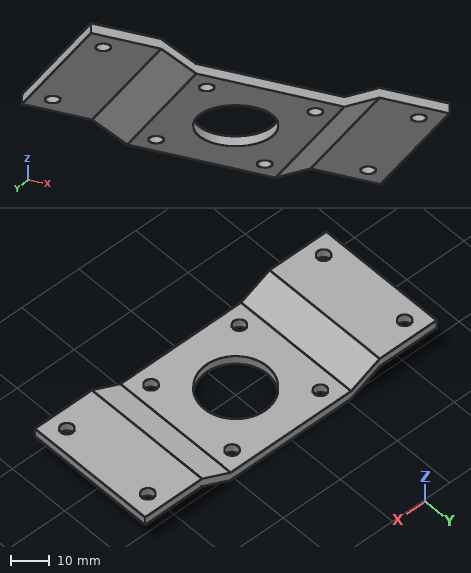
import cadquery as cq

length = 102.3
width = 42.2
thickness = 3.0
drop = 5.0

panel_length = width
ramp_length = 10.0
panel_bend_x = panel_length / 2
flange_bend_x = panel_bend_x + ramp_length
end_x = length / 2

bore_diameter = 22.0
screw_diameter = 4.0
panel_hole_spacing = 31.0
flange_hole_spacing = 90.0


def bent_plate():
    """Constant-height strip profile, stepped down in the middle."""
    top_right = [(panel_bend_x, thickness), (flange_bend_x, thickness + drop), (end_x, thickness + drop)]
    bottom_right = [(x, z - thickness) for x, z in reversed(top_right)]
    right_side = top_right + bottom_right
    left_side = [(-x, z) for x, z in reversed(right_side)]
    profile = cq.Workplane("XZ").polyline(right_side + left_side).close()
    return profile.extrude(width / 2, both=True)


def hole_cutters(diameter, points):
    """Vertical cylinders reaching through the full height of the part."""
    return cq.Workplane("XY").pushPoints(points).circle(diameter / 2).extrude(thickness + drop)


def rectangle_corners(spacing_x, spacing_y):
    return [(sx * spacing_x / 2, sy * spacing_y / 2) for sx in (-1, 1) for sy in (-1, 1)]


result = bent_plate()
result = result.cut(hole_cutters(bore_diameter, [(0, 0)]))
for spacing_x in (panel_hole_spacing, flange_hole_spacing):
    screw_points = rectangle_corners(spacing_x, panel_hole_spacing)
    result = result.cut(hole_cutters(screw_diameter, screw_points))